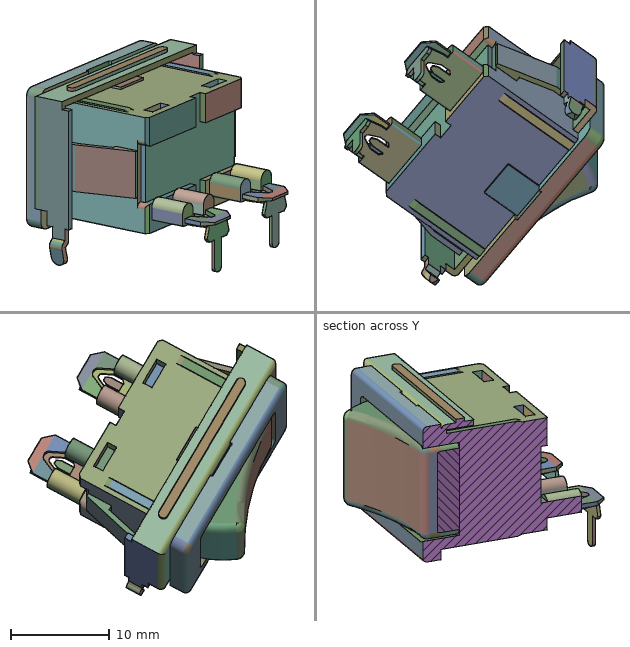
import cadquery as cq


bezel_depth = 2.06
bezel_half_y = 10.47
bezel_half_z = 7.48
bezel_corner_radius = 1.0
bezel_edge_radius = 0.52
bezel_notch_depth = 0.26

opening_half_y = 7.76
opening_half_z = 5.33
opening_corner_radius = 0.7
opening_floor_x = 2.0

body_rear_x = 11.9
body_half_y = 8.49
body_half_z = 6.2
body_corner_chamfer = 0.36
groove_floor_x = 11.19
groove_half_z = 3.09
groove_mouth_x = 10.62
groove_mouth_depth = 0.6
groove_mouth_radius = 0.53
rear_notch_y = 0.92
rear_notch_width = 1.74

pad_height = 0.16
pad_y = 7.48
pad_width = 0.97
pad_flat_end_x = 8.57
pad_end_x = 9.07
bump_height = 0.24
bump_half_y = 2.0
bump_end_x = 3.99

window_front_x = 9.98
window_rear_x = 11.05
window_length = 2.88
window_depth = 1.5

sheet = 0.65
bracket_half_y = 11.92
bracket_top_z = 7.36
bracket_rear_x = 3.65
bracket_front_bottom_z = -4.67
bracket_edge_radius = 0.55
ear_front_x = 1.75
ear_rear_x = 4.46
ear_top_z = 6.5
rib_x = 2.14
rib_width = 1.0
rib_half_y = 8.5
rib_top_z = 7.73

leg_x = 3.22
leg_width = 1.55
leg_bottom_z = -10.17
leg_half_span = 12.45
leg_elbow_top = (12.17, -7.63)
leg_elbow_middle_z = -8.05
leg_elbow_bottom = (12.39, -8.4)
leg_bend_z = -7.39
leg_inner_bend_z = -7.8
leg_inner_elbow_z = -8.2
leg_tip_rise = 0.16

clip_half_z = 2.5
clip_thickness = 0.56
clip_bend_x = 4.3
clip_foot_x = 7.94
clip_end_x = 10.65
clip_end_y = 8.83

terminal_centre_y = 0.14
terminal_offset_y = 5.1
plate_bottom_z = -4.91
plate_thickness = 0.3
barrel_rear_x = 15.73
barrel_top_z = -2.63
barrel_width = 1.85
barrel_outer_y = 2.77
barrel_bottom_radius = 0.2
slot_front_x = 14.38
slot_half_y = 0.83
slot_corner_radius = 0.3
slot_apex_x = 17.0
tongue_half_y = 0.43
tongue_drop = 0.1
tongue_taper_x = 15.8
tongue_end_x = 16.37
tongue_tip_half_y = 0.2
tab_thickness = 0.47
tab_half_y = 2.34
tab_taper_x = 17.66
tab_end_x = 18.77
tab_tip_half_y = 1.38
tab_tip_bevel = 0.1
vee_half_y = 1.3
vee_apex_x = 17.66
vee_apex_half_y = 0.58
vee_round_x = 17.22
carrier_half_y = 1.86
carrier_taper_x = 16.33
pin_rear_x = 18.2
pin_thickness = 0.36
pin_width = 1.24
pin_bottom_z = -9.94
pin_tip_radius = 0.55
shoulder_top_half_y = 1.5
shoulder_half_y = 1.95
shoulder_widest_z = -6.0
shoulder_bottom_z = -6.43
bend_radius = 0.3

rocker_half_z = 5.22
rocker_shoulder_x = 0
rocker_high_y = 7.34
rocker_low_y = -7.6
rocker_high_bulge = (-3.47, 6.2)
rocker_high_tip = (-5.56, 4.77)
rocker_face_middle = (-2.94, -1.07)
rocker_low_tip = (-2.05, -7.56)
rocker_corner_radius = 0.85
rocker_rim_radius = 0.82


def box(x0, x1, y0, y1, z0, z1):
    """Block between two opposite corners."""
    return cq.Workplane("XY").box(x1 - x0, y1 - y0, z1 - z0, centered=False).translate((x0, y0, z0))


def plate_xy(points, z0, z1):
    """Flat polygon in the XY plane, standing from z0 to z1."""
    return cq.Workplane("XY").workplane(offset=z0).polyline(points).close().extrude(z1 - z0)


def mirrored(points):
    """Closed outline from its +Y half, mirrored across the X axis."""
    return points + [(x, -y) for x, y in reversed(points)]


def both_sides(shape, plane):
    """Shape together with its mirror image."""
    return shape.union(shape.mirror(plane))


def make_bezel():
    bezel = box(-bezel_depth, 0, -bezel_half_y, bezel_half_y, -bezel_half_z, bezel_half_z)
    bezel = bezel.edges("|X").fillet(bezel_corner_radius)
    bezel = bezel.faces("<X").edges().fillet(bezel_edge_radius)
    bump_top_z = body_half_z + bump_height
    notch = box(-bezel_notch_depth, 0, -bump_half_y, bump_half_y, bump_top_z, bezel_half_z)
    return bezel.cut(both_sides(notch, "XY"))


def make_body():
    body = box(0, body_rear_x, -body_half_y, body_half_y, -body_half_z, body_half_z)
    body = body.faces(">X").edges("|Z").chamfer(body_corner_chamfer)

    groove = box(groove_floor_x, body_rear_x, -body_half_y, body_half_y, -groove_half_z, groove_half_z)
    mouth_y = body_half_y - groove_mouth_depth
    mouth = box(groove_mouth_x, body_rear_x, mouth_y, body_half_y, -groove_half_z, groove_half_z)
    flare_z = groove_half_z + groove_mouth_radius
    flare_y = body_half_y - groove_mouth_radius
    flare = box(groove_mouth_x, body_rear_x, flare_y, body_half_y, groove_half_z, flare_z)
    flare_core = (
        cq.Workplane("YZ", origin=(groove_mouth_x, flare_y, flare_z))
        .circle(groove_mouth_radius)
        .extrude(body_rear_x - groove_mouth_x)
    )
    mouth = mouth.union(both_sides(flare.cut(flare_core), "XY"))
    body = body.cut(groove).cut(both_sides(mouth, "XZ"))

    half_width = rear_notch_width / 2
    return body.cut(box(groove_floor_x, body_rear_x, rear_notch_y - half_width, rear_notch_y + half_width,
                        -body_half_z, body_half_z))


def make_pads():
    """Ramped pads near the ends, plus the centre bump, on the top and bottom."""
    top_z = body_half_z + pad_height
    outline = [(0, body_half_z), (0, top_z), (pad_flat_end_x, top_z), (pad_end_x, body_half_z)]
    pad = (
        cq.Workplane("XZ", origin=(0, pad_y + pad_width / 2, 0))
        .polyline(outline)
        .close()
        .extrude(pad_width)
    )
    pads = both_sides(pad, "XZ")
    bump = box(-bezel_notch_depth, bump_end_x, -bump_half_y, bump_half_y,
               body_half_z, body_half_z + bump_height)
    return both_sides(pads.union(bump), "XY")


def make_window(centre_y):
    half_length = window_length / 2
    return box(window_front_x, window_rear_x, centre_y - half_length, centre_y + half_length,
               body_half_z - window_depth, body_half_z)


def make_bracket():
    """Front, top and end walls of the bracket with the rib on its top."""
    shell = box(0, bracket_rear_x, -bracket_half_y, bracket_half_y, bracket_front_bottom_z, bracket_top_z)
    shell = shell.faces("<X").edges("|Z or >Z").fillet(bracket_edge_radius)
    inner_y = bracket_half_y - sheet
    shell = shell.cut(box(sheet, bracket_rear_x, -inner_y, inner_y,
                          bracket_front_bottom_z, bracket_top_z - sheet))
    rib = (
        cq.Workplane("XY", origin=(rib_x, 0, bracket_top_z - sheet))
        .slot2D(2 * rib_half_y, rib_width, 90)
        .extrude(rib_top_z - bracket_top_z + sheet)
    )
    ear = box(ear_front_x, ear_rear_x, inner_y, bracket_half_y, -body_half_z, ear_top_z)
    return shell.union(rib).union(both_sides(ear.union(make_leg()), "XZ"))


def make_leg():
    """Cranked solder leg with a round tip, on the +Y ear."""
    inner_y = bracket_half_y - sheet
    crank = (
        cq.Workplane("YZ", origin=(leg_x - leg_width / 2, 0, 0))
        .moveTo(inner_y, -body_half_z)
        .lineTo(bracket_half_y, -body_half_z)
        .lineTo(bracket_half_y, leg_bend_z)
        .lineTo(*leg_elbow_top)
        .threePointArc((leg_half_span, leg_elbow_middle_z), leg_elbow_bottom)
        .lineTo(bracket_half_y, leg_bottom_z)
        .lineTo(inner_y, leg_bottom_z + leg_tip_rise)
        .lineTo(leg_half_span - sheet, leg_inner_elbow_z)
        .lineTo(inner_y, leg_inner_bend_z)
        .close()
        .extrude(leg_width)
    )
    tip_radius = leg_width / 2
    leg_height = -body_half_z - leg_bottom_z
    silhouette = (
        cq.Workplane("XZ", origin=(leg_x, leg_half_span, -body_half_z))
        .moveTo(-tip_radius, 0)
        .lineTo(-tip_radius, tip_radius - leg_height)
        .threePointArc((0, -leg_height), (tip_radius, tip_radius - leg_height))
        .lineTo(tip_radius, 0)
        .close()
        .extrude(leg_half_span)
    )
    return crank.intersect(silhouette)


def make_clips():
    """Spring clips sloping from the bracket front down to the body ends."""
    slope = (bezel_half_y - clip_end_y) / (clip_end_x - clip_bend_x)
    foot_y = bezel_half_y - clip_thickness - slope * (clip_foot_x - clip_bend_x)
    outline = [
        (sheet, bezel_half_y),
        (clip_bend_x, bezel_half_y),
        (clip_end_x, clip_end_y),
        (clip_end_x, body_half_y),
        (clip_foot_x, body_half_y),
        (clip_foot_x, foot_y),
        (clip_bend_x, bezel_half_y - clip_thickness),
        (sheet, bezel_half_y - clip_thickness),
    ]
    return both_sides(plate_xy(outline, -clip_half_z, clip_half_z), "XZ")


def make_terminal():
    """One terminal, centred on Y = 0: floor plate, two barrels, blade and pin."""
    plate_top_z = plate_bottom_z + plate_thickness

    floor = box(body_rear_x, barrel_rear_x, -barrel_outer_y + barrel_width / 2,
                barrel_outer_y - barrel_width / 2, plate_bottom_z, plate_top_z)
    carrier_outline = mirrored([
        (barrel_rear_x, carrier_half_y),
        (carrier_taper_x, carrier_half_y),
        (pin_rear_x, shoulder_top_half_y),
    ])
    floor = floor.union(plate_xy(carrier_outline, plate_bottom_z, plate_top_z))

    slot_outline = mirrored([
        (slot_front_x, slot_half_y - slot_corner_radius),
        (slot_front_x + slot_corner_radius, slot_half_y),
        (barrel_rear_x, slot_half_y),
        (slot_apex_x - slot_corner_radius / 2, slot_corner_radius),
        (slot_apex_x, slot_corner_radius / 2),
    ])
    tongue_outline = mirrored([
        (slot_front_x, tongue_half_y),
        (tongue_taper_x, tongue_half_y),
        (tongue_end_x, tongue_tip_half_y),
    ])
    slot = plate_xy(slot_outline, plate_bottom_z, plate_top_z)
    slot = slot.cut(plate_xy(tongue_outline, plate_bottom_z, plate_top_z - tongue_drop))
    floor = floor.cut(slot)

    crown_radius = barrel_width / 2
    crown_z = barrel_top_z - crown_radius
    inner_y = barrel_outer_y - barrel_width
    barrel = (
        cq.Workplane("YZ", origin=(body_rear_x, 0, 0))
        .moveTo(inner_y, plate_bottom_z)
        .lineTo(barrel_outer_y, plate_bottom_z)
        .lineTo(barrel_outer_y, crown_z)
        .threePointArc((barrel_outer_y - crown_radius, barrel_top_z), (inner_y, crown_z))
        .close()
        .extrude(barrel_rear_x - body_rear_x)
    )
    barrel = barrel.faces("<Z").edges(">Y").fillet(barrel_bottom_radius)

    terminal = floor.union(both_sides(barrel, "XZ")).union(make_pin(plate_top_z))
    terminal = terminal.edges("|Y").edges(">X").edges(">Z").fillet(bend_radius)
    return terminal.union(make_blade(plate_top_z))


def make_pin(top_z):
    """Solder pin bent down from the floor plate, with a widening shoulder at its top."""
    pin_front_x = pin_rear_x - pin_thickness
    pin = box(pin_front_x, pin_rear_x, -pin_width / 2, pin_width / 2, pin_bottom_z, top_z)
    pin = pin.faces("<Z").edges("|X").fillet(pin_tip_radius)
    corner = shoulder_widest_z - shoulder_bottom_z
    half = [
        (shoulder_top_half_y, top_z),
        (shoulder_half_y, shoulder_widest_z),
        (shoulder_half_y - corner, shoulder_bottom_z),
    ]
    shoulder = (
        cq.Workplane("YZ", origin=(pin_front_x, 0, 0))
        .polyline(half + [(-y, z) for y, z in reversed(half)])
        .close()
        .extrude(pin_thickness)
    )
    return pin.union(shoulder)


def make_blade(bottom_z):
    """Pointed blade with a V-shaped opening and a bevelled tip."""
    top_z = bottom_z + tab_thickness
    outline = mirrored([
        (barrel_rear_x, tab_half_y),
        (tab_taper_x, tab_half_y),
        (tab_end_x, tab_tip_half_y),
    ])
    profile = [
        (barrel_rear_x, bottom_z),
        (tab_taper_x, bottom_z),
        (tab_end_x, bottom_z + tab_tip_bevel),
        (tab_end_x, top_z - tab_tip_bevel),
        (tab_taper_x, top_z),
        (barrel_rear_x, top_z),
    ]
    blade = cq.Workplane("XZ").polyline(profile).close().extrude(tab_half_y, both=True)
    blade = blade.intersect(plate_xy(outline, bottom_z, top_z))
    opening = (
        cq.Workplane("XY", origin=(0, 0, bottom_z))
        .moveTo(barrel_rear_x, vee_half_y)
        .lineTo(vee_round_x, vee_apex_half_y)
        .threePointArc((vee_apex_x, 0), (vee_round_x, -vee_apex_half_y))
        .lineTo(barrel_rear_x, -vee_half_y)
        .close()
        .extrude(tab_thickness)
    )
    return blade.cut(opening)


def make_opening():
    """Rounded rectangular well that holds the rocker."""
    well = box(-bezel_depth, opening_floor_x, -opening_half_y, opening_half_y,
               -opening_half_z, opening_half_z)
    return well.edges("|X").fillet(opening_corner_radius)


def make_housing():
    housing = make_body().union(make_pads()).union(make_bracket()).union(make_clips())
    housing = housing.union(make_bezel()).cut(make_opening())
    for side in (-1, 1):
        centre_y = terminal_centre_y + side * terminal_offset_y
        housing = housing.cut(make_window(centre_y))
        housing = housing.union(make_terminal().translate((0, centre_y, 0)))
    return housing


def make_rocker():
    """Rocker with a dished face and a bulged raised end, resting on the well floor."""
    rocker = (
        cq.Workplane("XY", origin=(0, 0, -rocker_half_z))
        .moveTo(opening_floor_x, rocker_low_y)
        .lineTo(opening_floor_x, rocker_high_y)
        .lineTo(rocker_shoulder_x, rocker_high_y)
        .threePointArc(rocker_high_bulge, rocker_high_tip)
        .threePointArc(rocker_face_middle, rocker_low_tip)
        .lineTo(rocker_shoulder_x, rocker_low_y)
        .close()
        .extrude(2 * rocker_half_z)
    )
    tips = cq.selectors.BoxSelector(
        (-bezel_half_y, -bezel_half_y, -rocker_half_z),
        (rocker_low_tip[0] / 2, bezel_half_y, rocker_half_z),
    )
    rocker = rocker.edges("|Z").edges(tips).fillet(rocker_corner_radius)
    return rocker.faces("<Z or >Z").edges("not >X").fillet(rocker_rim_radius)


housing = make_housing()
rocker = make_rocker()
result = cq.Compound.makeCompound([housing.val(), rocker.val()])